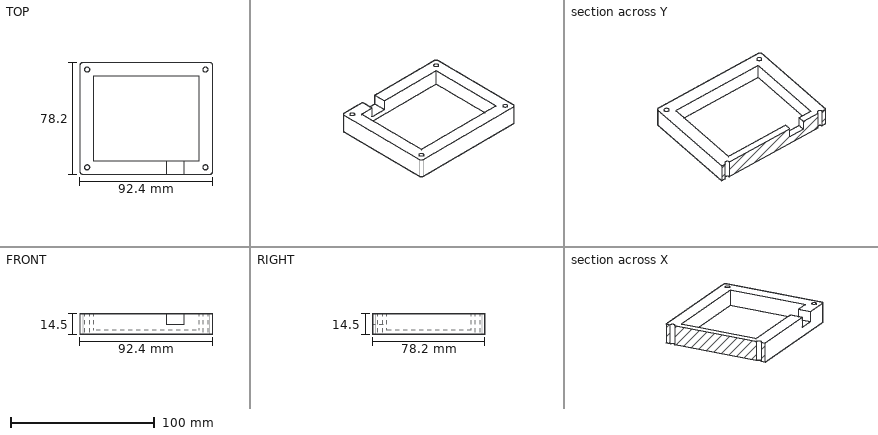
import cadquery as cq

length = 92.44
width = 78.15
height = 14.5
corner_radius = 2.0

pocket_length = 73.25
pocket_width = 59.0
floor_thickness = 3.0

hole_diameter = 3.4
hole_inset = 5.0

notch_width = 12.0
notch_depth = 7.5
notch_side_distance = 20.0


def make_block():
    block = cq.Workplane("XY").box(length, width, height, centered=(True, True, False))
    return block.edges("|Z").fillet(corner_radius)


def make_pocket():
    pocket_depth = height - floor_thickness
    return (
        cq.Workplane("XY", origin=(0, 0, floor_thickness))
        .box(pocket_length, pocket_width, pocket_depth, centered=(True, True, False))
    )


def make_screw_holes():
    hole_spacing_x = length - 2 * hole_inset
    hole_spacing_y = width - 2 * hole_inset
    return (
        cq.Workplane("XY")
        .rect(hole_spacing_x, hole_spacing_y, forConstruction=True)
        .vertices()
        .circle(hole_diameter / 2)
        .extrude(height)
    )


def make_notch():
    wall_thickness = (width - pocket_width) / 2
    notch_center_x = length / 2 - notch_side_distance - notch_width / 2
    return (
        cq.Workplane("XY", origin=(notch_center_x, -width / 2, height - notch_depth))
        .box(notch_width, wall_thickness, notch_depth, centered=(True, False, False))
    )


result = make_block().cut(make_pocket()).cut(make_screw_holes()).cut(make_notch())